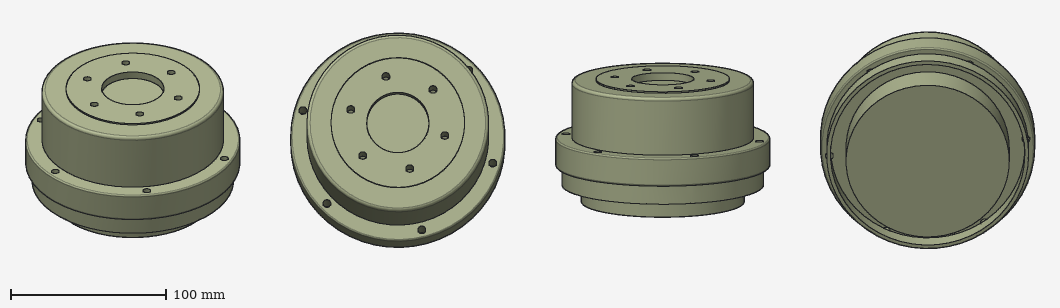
import cadquery as cq
import math

hub_diameter = 105.0
skirt_diameter = 130.0
flange_diameter = 138.0
body_diameter = 117.0
pad_diameter = 86.0

hub_height = 11.0
skirt_height = 12.4
flange_height = 18.5
body_height = 37.5
pad_height = 1.0

skirt_inner_diameter = 125.0

body_fillet = 2.1
flange_fillet = 1.0

bore_diameter = 40.0
bore_depth = 5.0

hole_diameter = 5.0
hole_count = 6
first_hole_angle = 90
pad_hole_circle = 62.9
pad_hole_depth = 12.0
drill_point_angle = 118
flange_hole_circle = 127.0

skirt_bottom = hub_height
flange_bottom = skirt_bottom + skirt_height
flange_top = flange_bottom + flange_height
body_top = flange_top + body_height
pad_top = body_top + pad_height


def disc(diameter, bottom, top):
    return cq.Workplane("XY").workplane(offset=bottom).circle(diameter / 2).extrude(top - bottom)


def hole_ring(circle_diameter, level):
    return (
        cq.Workplane("XY")
        .workplane(offset=level)
        .polarArray(circle_diameter / 2, first_hole_angle, 360, hole_count)
    )


def drill_flange_holes(flange):
    """Plain through holes, open onto the skirt rim and the recess below."""
    drills = hole_ring(flange_hole_circle, flange_bottom).circle(hole_diameter / 2).extrude(flange_height)
    return flange.cut(drills)


def drill_pad_holes(part):
    """Blind holes ending in the cone left by the drill point."""
    point_height = hole_diameter / 2 / math.tan(math.radians(drill_point_angle / 2))
    drill = (
        cq.Workplane("XZ")
        .lineTo(hole_diameter / 2, 0)
        .lineTo(hole_diameter / 2, -pad_hole_depth)
        .lineTo(0, -pad_hole_depth - point_height)
        .close()
        .revolve(360, (0, 0, 0), (0, 1, 0))
        .val()
    )
    drills = hole_ring(pad_hole_circle, pad_top).eachpoint(lambda place: drill.moved(place))
    return part.cut(drills)


flange = disc(flange_diameter, flange_bottom, flange_top).edges().fillet(flange_fillet)
flange = drill_flange_holes(flange)

skirt = disc(skirt_diameter, skirt_bottom, flange_bottom)
skirt = skirt.cut(disc(skirt_inner_diameter, skirt_bottom, flange_bottom))

hub = disc(hub_diameter, 0, flange_bottom)
body = disc(body_diameter, flange_top, body_top).faces(">Z").edges().fillet(body_fillet)
pad = disc(pad_diameter, body_top, pad_top)

part = flange.union(skirt).union(hub).union(body).union(pad)
part = part.cut(disc(bore_diameter, pad_top - bore_depth, pad_top))
result = drill_pad_holes(part)